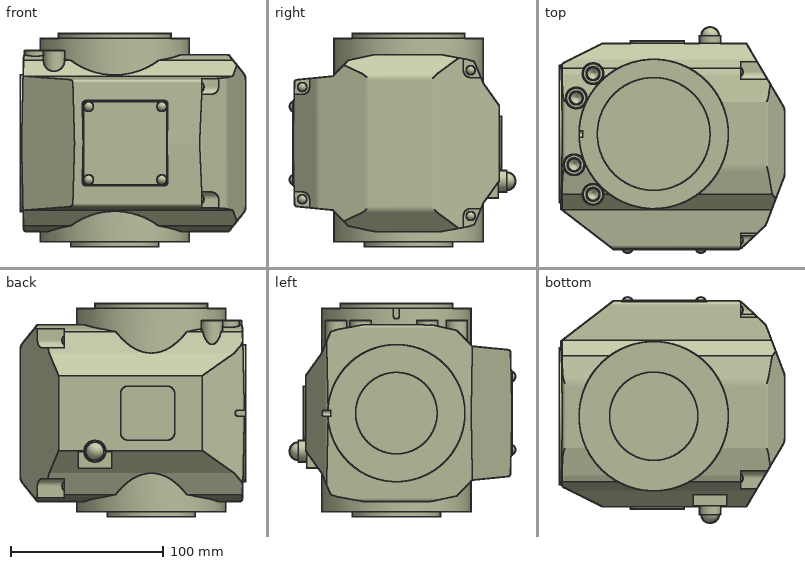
import cadquery as cq
import math

BODY_TOP_Z = 58.1
BODY_FRONT_Y = -75.8
BODY_BACK_Y = 59.5
BODY_LEFT_X = -61.1
BODY_RIGHT_X = 86.0
LEFT_BULGE = 1.3
PLAN_CLEARANCE = 0.1
PRISM_REACH = 100.0
END_FILLET = 7.0
SMALL_FILLET = 2.0
BACK_LEFT_FILLET = 4.0
RIDGE_FILLET = 22.0

FLANGE_D = 98.0
FLANGE_TOP_Z = 68.8
FLANGE_BOTTOM_Z = -64.8
PAD_T = 3.2
TOP_PAD_D = 74.0
BOTTOM_PAD_D = 58.0

LEFT_PAD_D = 90.0
LEFT_PAD_X = -62.0
LEFT_PAD_T = 4.0
LEFT_RECESS_D = 53.5
LEFT_RECESS_DEPTH = 0.5

NOTCH_W = 4.0
NOTCH_LENGTH = 7.0
TOP_NOTCH_DEPTH = 2.4
SIDE_NOTCH_START_Y = 43.0
SIDE_NOTCH_DEPTH = 6.0

SCREW_PLACES = [(-39.8, 39.6), (-50.8, 23.6), (-52.2, -20.2), (-39.8, -39.6)]
SCREW_D = 14.0
SCREW_TOP_Z = 61.0
SCREW_FOOT_Z = 40.0
SCREW_RIM_CHAMFER = 0.5
SOCKET_D = 9.0
SOCKET_DEPTH = 6.0
SOCKET_TIP_ANGLE = 118.0
SOCKET_CHAMFER = 0.5

COVER_X = 6.85
COVER_SIZE = 56.0
COVER_CORNER_R = 2.5
COVER_FACE_Y = -76.1
COVER_T = 3.0
COVER_EDGE = 0.7
BUTTON_SPACING = 48.0
BUTTON_R = 3.5
BUTTON_H = 2.1

POCKET_X = 57.0
POCKET_R = 4.8
FRONT_POCKET_Y = -65.0
FRONT_POCKET_Z = 32.0
FRONT_POCKET_OUTER_Z = 42.3
BACK_POCKET_Y = 35.9
BACK_POCKET_OUTER_Y = 47.6
BACK_POCKET_Z = 43.0
POCKET_BUTTON_H = 1.6

CONNECTOR_X = 37.0
CONNECTOR_Z = -25.0
CONNECTOR_BOSS_SIZE = 22.0
CONNECTOR_BOSS_Y = 58.9
CONNECTOR_BOSS_ROOT_Y = 40.0
CONNECTOR_D = 14.2
CONNECTOR_Y = 64.5
DOME_CENTRE_Y = 64.2
DOME_R = 6.0
BACK_PAD_X = 2.4
BACK_PAD_SIZE = 35.5
BACK_PAD_CORNER_R = 5.0
BACK_PAD_FACE_Y = 61.0


def prism(plane, points, fillets):
    """Prism through the origin on a plane; each fillet is (edge's outline point, radius)."""
    solid = cq.Workplane(plane).polyline(points).close().extrude(PRISM_REACH, both=True)
    for point, radius in fillets:
        place = cq.Plane.named(plane).toWorldCoords(point)
        solid = solid.edges(cq.selectors.NearestToPointSelector(place.toTuple())).fillet(radius)
    return solid


def mirrored_up_down(upper):
    """Close a half outline, given from start to end with height second, about height zero."""
    lower = [(across, -height) for across, height in reversed(upper) if height != 0]
    return upper + lower


def both_heights(upper_fillets):
    """Repeat fillets on the upper outline points at the matching lower points."""
    lower_fillets = [((across, -height), radius) for (across, height), radius in upper_fillets]
    return upper_fillets + lower_fillets


def plan_prism():
    """Prism along Z: cut-off corners around the body, blunted at the right end."""
    left = BODY_LEFT_X - PLAN_CLEARANCE
    back_left = (-59.1, 46.7)
    right_front = (BODY_RIGHT_X, -27.2)
    right_back = (BODY_RIGHT_X, 16.7)
    front_right = (73.6, -59.9)
    points = [
        (left, -49.0),
        (-26.2, BODY_FRONT_Y - PLAN_CLEARANCE),
        (55.5, BODY_FRONT_Y - PLAN_CLEARANCE),
        (57.7, -74.8),
        front_right,
        right_front,
        right_back,
        (60.8, BODY_BACK_Y),
        (-33.5, BODY_BACK_Y),
        back_left,
        (left, 44.6),
    ]
    fillets = [(point, END_FILLET) for point in (front_right, right_front, right_back)]
    fillets.append((back_left, BACK_LEFT_FILLET))
    return prism("XY", points, fillets)


def side_prism():
    """Prism along X: drafted front cover, sloped top and bottom, stepped back slopes."""
    cover_corner = (-74.9, 41.5)
    ridge = (-22.3, BODY_TOP_Z)
    upper = [
        (BODY_FRONT_Y, 0),
        cover_corner,
        (-49.7, 44.0),
        (-39.6, 54.3),
        ridge,
        (21.0, BODY_TOP_Z),
        (38.9, 54.8),
        (43.1, 53.4),
        (49.0, 39.4),
        (BODY_BACK_Y, 24.6),
    ]
    fillets = both_heights([(cover_corner, SMALL_FILLET), (ridge, RIDGE_FILLET)])
    return prism("YZ", mirrored_up_down(upper), fillets)


def front_prism():
    """Prism along Y: bulged left face and chamfered right end."""
    left_corner = (BODY_LEFT_X + LEFT_BULGE, BODY_TOP_Z)
    right_corner = (BODY_RIGHT_X, 44.0)
    chamfer_top = (74.7, BODY_TOP_Z)
    upper = [(BODY_LEFT_X, 0), left_corner, chamfer_top, right_corner]
    fillets = both_heights([
        (left_corner, SMALL_FILLET),
        (chamfer_top, SMALL_FILLET),
        (right_corner, END_FILLET),
    ])
    return prism("XZ", mirrored_up_down(upper), fillets)


def make_body():
    return plan_prism().intersect(side_prism()).intersect(front_prism())


def corner_pocket(y_wall, z_wall, y_out, z_out):
    """Cutter from POCKET_X to past the right end, rounded where its two inner walls meet."""
    y_size = abs(y_out - y_wall)
    z_size = abs(z_out - z_wall)
    cutter = cq.Workplane("XY").box(PRISM_REACH, y_size, z_size)
    y_side = "<Y" if y_out > y_wall else ">Y"
    z_side = "<Z" if z_out > z_wall else ">Z"
    cutter = cutter.faces(y_side).edges(z_side).fillet(POCKET_R)
    centre = (POCKET_X + PRISM_REACH / 2, (y_wall + y_out) / 2, (z_wall + z_out) / 2)
    return cutter.translate(centre)


def button_head(height):
    """Domed screw head of the given height, cut from a ball and standing on the XY plane."""
    ball = cq.Workplane("XY").sphere(BUTTON_R).translate((0, 0, height - BUTTON_R))
    return ball.intersect(cq.Workplane("XY").circle(2 * BUTTON_R).extrude(2 * BUTTON_R))


def cut_pockets(body):
    head = button_head(POCKET_BUTTON_H).rotate((0, 0, 0), (0, 1, 0), 90)
    for side in (1, -1):
        front = corner_pocket(
            FRONT_POCKET_Y, side * FRONT_POCKET_Z, -PRISM_REACH, side * FRONT_POCKET_OUTER_Z
        )
        back = corner_pocket(BACK_POCKET_Y, side * BACK_POCKET_Z, BACK_POCKET_OUTER_Y, side * PRISM_REACH)
        body = body.cut(front).cut(back)
        for y, z in [
            (FRONT_POCKET_Y - POCKET_R, FRONT_POCKET_Z + POCKET_R),
            (BACK_POCKET_Y + POCKET_R, BACK_POCKET_Z + POCKET_R),
        ]:
            body = body.union(head.translate((POCKET_X, y, side * z)))
    return body


def add_flanges(body):
    flange = cq.Workplane("XY").workplane(offset=FLANGE_BOTTOM_Z).circle(FLANGE_D / 2)
    flange = flange.extrude(FLANGE_TOP_Z - FLANGE_BOTTOM_Z)
    top_pad = cq.Workplane("XY").workplane(offset=FLANGE_TOP_Z).circle(TOP_PAD_D / 2).extrude(PAD_T)
    bottom_pad = cq.Workplane("XY").workplane(offset=FLANGE_BOTTOM_Z).circle(BOTTOM_PAD_D / 2).extrude(-PAD_T)
    return body.union(flange).union(top_pad).union(bottom_pad)


def add_left_pad(body):
    plane = cq.Workplane("YZ").workplane(offset=LEFT_PAD_X)
    pad = plane.circle(LEFT_PAD_D / 2).extrude(LEFT_PAD_T)
    recess = plane.circle(LEFT_RECESS_D / 2).extrude(LEFT_RECESS_DEPTH)
    return body.union(pad).cut(recess)


def rounded_notch(depth):
    """Slot cutter hanging down from the origin, from X = depth outward to X = -depth."""
    arc_z = NOTCH_W / 2 - NOTCH_LENGTH
    return (
        cq.Workplane("YZ")
        .workplane(offset=depth)
        .moveTo(-NOTCH_W / 2, 0)
        .lineTo(-NOTCH_W / 2, arc_z)
        .threePointArc((0, -NOTCH_LENGTH), (NOTCH_W / 2, arc_z))
        .lineTo(NOTCH_W / 2, 0)
        .close()
        .extrude(-2 * depth)
    )


def cut_notches(body):
    top_notch = rounded_notch(TOP_NOTCH_DEPTH).translate((-FLANGE_D / 2, 0, FLANGE_TOP_Z))
    side_notch = rounded_notch(SIDE_NOTCH_DEPTH).rotate((0, 0, 0), (1, 0, 0), 90)
    side_notch = side_notch.rotate((0, 0, 0), (0, 0, 1), -90)
    side_notch = side_notch.translate((LEFT_PAD_X, SIDE_NOTCH_START_Y + SIDE_NOTCH_DEPTH, 0))
    return body.cut(top_notch).cut(side_notch)


def socket_screw():
    """Screw head standing up to SCREW_TOP_Z on the Z axis, with a cone-bottomed socket."""
    head = cq.Workplane("XY").workplane(offset=SCREW_FOOT_Z).circle(SCREW_D / 2)
    head = head.extrude(SCREW_TOP_Z - SCREW_FOOT_Z).faces(">Z").edges().chamfer(SCREW_RIM_CHAMFER)
    radius = SOCKET_D / 2 - SOCKET_CHAMFER
    bottom_z = SCREW_TOP_Z - SOCKET_DEPTH
    tip_z = bottom_z - radius / math.tan(math.radians(SOCKET_TIP_ANGLE / 2))
    socket = (
        cq.Workplane("XZ")
        .polyline([
            (0, SCREW_TOP_Z),
            (SOCKET_D / 2, SCREW_TOP_Z),
            (radius, SCREW_TOP_Z - SOCKET_CHAMFER),
            (radius, bottom_z),
            (0, tip_z),
        ])
        .close()
        .revolve(360, (0, 0, 0), (0, 1, 0))
    )
    return head, socket


def add_screws(body):
    head, socket = socket_screw()
    for x, y in SCREW_PLACES:
        body = body.union(head.translate((x, y, 0))).cut(socket.translate((x, y, 0)))
    return body


def add_cover(body):
    cover = cq.Workplane("XY").box(COVER_SIZE, COVER_T, COVER_SIZE)
    cover = cover.edges("|Y").fillet(COVER_CORNER_R).faces("<Y").edges().chamfer(COVER_EDGE)
    body = body.union(cover.translate((COVER_X, COVER_FACE_Y + COVER_T / 2, 0)))
    head = button_head(BUTTON_H).rotate((0, 0, 0), (1, 0, 0), 90)
    for x_side in (-1, 1):
        for z_side in (-1, 1):
            x = COVER_X + x_side * BUTTON_SPACING / 2
            z = z_side * BUTTON_SPACING / 2
            body = body.union(head.translate((x, COVER_FACE_Y, z)))
    return body


def back_disc(diameter, start_y, end_y):
    """Disc on the connector's axis between two Y positions."""
    plane = cq.Workplane("XZ", origin=(CONNECTOR_X, start_y, CONNECTOR_Z))
    return plane.circle(diameter / 2).extrude(start_y - end_y)


def add_back_features(body):
    boss_depth = CONNECTOR_BOSS_Y - CONNECTOR_BOSS_ROOT_Y
    boss = cq.Workplane("XY").box(CONNECTOR_BOSS_SIZE, boss_depth, CONNECTOR_BOSS_SIZE)
    boss = boss.translate((CONNECTOR_X, CONNECTOR_BOSS_Y - boss_depth / 2, CONNECTOR_Z))
    connector = back_disc(CONNECTOR_D, CONNECTOR_BOSS_ROOT_Y, CONNECTOR_Y)
    dome = cq.Workplane("XY").sphere(DOME_R).translate((CONNECTOR_X, DOME_CENTRE_Y, CONNECTOR_Z))
    pad_t = 2 * (BACK_PAD_FACE_Y - BODY_BACK_Y)
    pad = cq.Workplane("XY").box(BACK_PAD_SIZE, pad_t, BACK_PAD_SIZE).edges("|Y").fillet(BACK_PAD_CORNER_R)
    pad = pad.translate((BACK_PAD_X, BODY_BACK_Y, 0))
    return body.union(boss).union(connector).union(dome).union(pad)


body = make_body()
body = cut_pockets(body)
body = add_flanges(body)
body = add_left_pad(body)
body = cut_notches(body)
body = add_screws(body)
body = add_cover(body)
result = add_back_features(body)